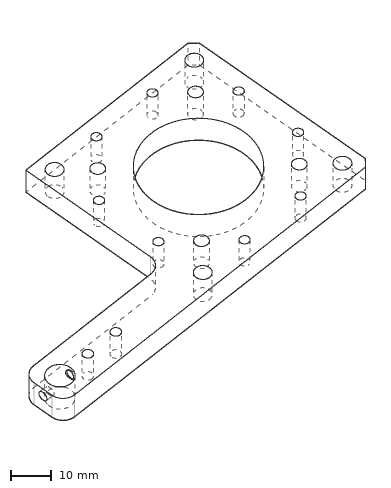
import cadquery as cq

thickness = 8.0
plate_side = 60.0
total_length = 110.0
arm_width = 14.0
corner_chamfer = 2.0
corner_radius = 4.0

bore_diameter = 32.0
corner_hole_diameter = 4.6
corner_hole_offset = 25.0
inner_hole_diameter = 3.8
inner_hole_offset = 17.5
edge_hole_diameter = 2.8
edge_hole_offset = 10.0

clamp_diameter = 7.5
clamp_end_distance = 6.0
arm_hole_pitch = 10.0
arm_hole_diameter = 2.9
screw_diameter = 2.8
screw_height = 5.4
screw_depth = 10.0

half_side = plate_side / 2
arm_end_y = half_side - total_length
arm_inner_x = half_side - arm_width
arm_center_x = half_side - arm_width / 2
clamp_y = arm_end_y + clamp_end_distance


def body():
    """Square plate with an arm continuing its +X side towards -Y."""
    plate = cq.Workplane("XY").box(plate_side, plate_side, thickness, centered=(True, True, False))
    plate = plate.edges("|Z and >Y").chamfer(corner_chamfer)
    arm = (
        cq.Workplane("XY")
        .moveTo(arm_inner_x, arm_end_y)
        .lineTo(half_side, arm_end_y)
        .lineTo(half_side, 0)
        .lineTo(arm_inner_x, 0)
        .close()
        .extrude(thickness)
        .edges("|Z and <Y")
        .fillet(corner_radius)
    )
    joined = plate.union(arm).clean()
    inner_corner = cq.selectors.NearestToPointSelector((arm_inner_x, -half_side, thickness / 2))
    return joined.edges("|Z").edges(inner_corner).fillet(corner_radius)


def through_holes(points, diameter):
    """Vertical cylinders through the full thickness."""
    return cq.Workplane("XY").pushPoints(points).circle(diameter / 2).extrude(thickness)


def mirrored(x, y):
    """The point and its reflections about both plate centre lines."""
    return [(sx * x, sy * y) for sx in (-1, 1) for sy in (-1, 1)]


edge_points = mirrored(edge_hole_offset, corner_hole_offset) + mirrored(corner_hole_offset, edge_hole_offset)
arm_points = [(arm_center_x, clamp_y + n * arm_hole_pitch) for n in (1, 2)]

result = body()
for points, diameter in (
    ([(0, 0)], bore_diameter),
    (mirrored(corner_hole_offset, corner_hole_offset), corner_hole_diameter),
    (mirrored(inner_hole_offset, inner_hole_offset), inner_hole_diameter),
    (edge_points, edge_hole_diameter),
    (arm_points, arm_hole_diameter),
    ([(arm_center_x, clamp_y)], clamp_diameter),
):
    result = result.cut(through_holes(points, diameter))

set_screw = (
    cq.Workplane("XZ", origin=(arm_center_x, arm_end_y, screw_height))
    .circle(screw_diameter / 2)
    .extrude(-screw_depth)
)
result = result.cut(set_screw)